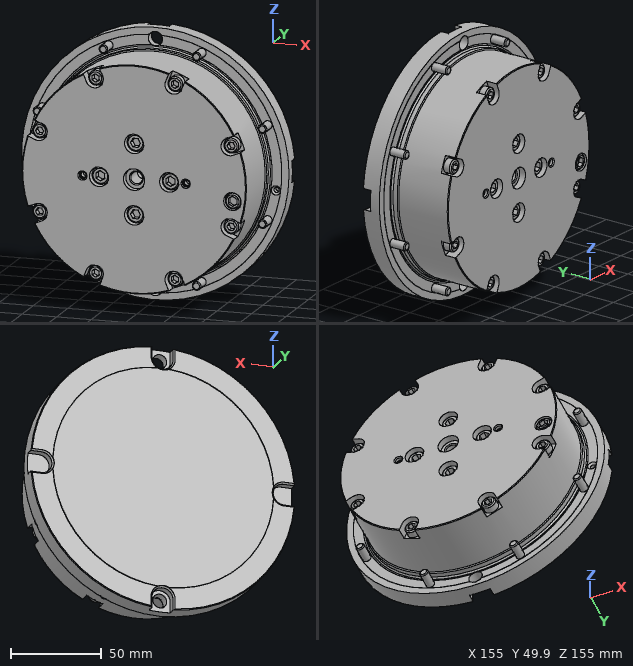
import cadquery as cq
import math


total_depth = 49.9
flange_radius = 77.5
body_radius = 65.0
neck_radius = 65.7
neck_front = 34.4
neck_flare = 1.0
flange_front = 37.8
back_boss_radius = 64.8
back_boss_height = 0.5
flange_back = total_depth - back_boss_height
edge_chamfer = 0.5
neck_step = 0.5

rim_step_radius = 73.3
rim_step_depth = 0.2
groove_outer_radius = 67.6
groove_depth = 0.3

pin_circle_radius = 70.5
flange_hole_radius = 71.0
pin_diameter = 5.0
pin_length = 9.9
pin_chamfer = 0.6
pin_root = 3.1
flange_hole_diameter = 8.0
notch_width = 12.2
notch_depth = 5.5
notch_chamfer = 1.0
small_hole_mouth = 5.3
small_hole_diameter = 3.0
small_hole_depth = 4.6

head_chamfer = 0.8
socket_depth = 3.9
head_root = 1.5

edge_screw_radius = 60.0
edge_bore_diameter = 10.0
edge_bore_depth = 7.0
edge_head_diameter = 8.5
edge_head_recess = 2.2
edge_socket_flats = 4.0

center_screw_radius = 20.3
center_screw_bore_diameter = 11.0
center_screw_bore_depth = 8.5
center_screw_head_diameter = 10.0
center_screw_head_recess = 2.5
center_screw_socket_flats = 5.0

plug_radius = 57.5
plug_angle = -8
plug_bore_diameter = 10.0
plug_bore_depth = 3.1
plug_head_diameter = 9.0
plug_head_recess = 0.3
plug_socket_flats = 5.0

center_bore_diameter = 12.2
center_bore_depth = 4.0
center_hole_mouth = 8.0
center_hole_diameter = 6.8
center_hole_depth = 12.4
drill_point_half_angle = 59

dowel_hole_offset = 29.9
dowel_hole_mouth = 5.3
dowel_hole_diameter = 4.0
dowel_hole_depth = 2.3
dowel_core_diameter = 3.0
dowel_core_depth = 6.2

quarter_angles = [0, 90, 180, 270]
eighth_angles = [22.5 + 45 * i for i in range(8)]


def polar(radius, angle):
    """Point (x, z) on a circle about the part axis."""
    return (
        radius * math.cos(math.radians(angle)),
        radius * math.sin(math.radians(angle)),
    )


def plane_at(y):
    """Plane square to the part axis; a negative extrusion runs backward, toward +Y."""
    return cq.Workplane("XZ", origin=(0, y, 0))


def cylinder(center, diameter, front, back):
    return plane_at(front).center(*center).circle(diameter / 2).extrude(front - back)


def revolved(points, center=(0, 0)):
    """Solid of (radius, y) points turned about a line parallel to Y through center (x, z)."""
    profile = cq.Workplane("XY").polyline(points).close()
    turned = profile.revolve(360, (0, 0, 0), (0, 1, 0))
    return turned.translate((center[0], 0, center[1]))


def countersunk_hole(center, front, mouth, diameter, depth, point_height=0):
    """Blind hole with a 45 degree mouth and an optional conical bottom."""
    sink = (mouth - diameter) / 2
    return revolved(
        [
            (0, front),
            (mouth / 2, front),
            (diameter / 2, front + sink),
            (diameter / 2, front + depth),
            (0, front + depth + point_height),
        ],
        center,
    )


def turned_body():
    floor_y = flange_front + rim_step_depth
    groove_floor_y = flange_front + groove_depth
    flare_radius = neck_radius + neck_flare
    return revolved(
        [
            (0, 0),
            (body_radius - edge_chamfer, 0),
            (body_radius, edge_chamfer),
            (body_radius, neck_front - neck_step),
            (neck_radius, neck_front),
            (neck_radius, groove_floor_y - neck_flare),
            (flare_radius, groove_floor_y),
            (groove_outer_radius, groove_floor_y),
            (groove_outer_radius, floor_y),
            (rim_step_radius, floor_y),
            (rim_step_radius, flange_front),
            (flange_radius, flange_front),
            (flange_radius, flange_back - edge_chamfer),
            (flange_radius - edge_chamfer, flange_back),
            (back_boss_radius, flange_back),
            (back_boss_radius, total_depth),
            (0, total_depth),
        ]
    )


def pin(angle):
    tip = flange_front - pin_length
    return revolved(
        [
            (0, tip),
            (pin_diameter / 2 - pin_chamfer, tip),
            (pin_diameter / 2, tip + pin_chamfer),
            (pin_diameter / 2, flange_front + pin_root),
            (0, flange_front + pin_root),
        ],
        polar(pin_circle_radius, angle),
    )


def u_cutter(center_radius, width, angle, front, back):
    """Slot cutter with a round inner end, open outward past the flange rim."""
    length = flange_radius
    slot = (
        plane_at(front)
        .center(center_radius + length / 2, 0)
        .slot2D(length + width, width)
        .extrude(front - back)
    )
    return slot.rotate((0, 0, 0), (0, 1, 0), -angle)


def rim_notch(angle):
    """U-shaped notch in the flange back with a chamfered mouth."""
    notch = u_cutter(
        flange_hole_radius, notch_width, angle, flange_back - notch_depth, total_depth
    )
    mouth = u_cutter(
        flange_hole_radius,
        notch_width + 2 * notch_chamfer,
        angle,
        flange_back - notch_chamfer,
        total_depth,
    )
    mouth = mouth.faces("<Y").chamfer(notch_chamfer)
    return notch.union(mouth)


def screw_head(center, diameter, top, seat, socket_flats, socket_angle):
    """Chamfered head rooted in its seat, with a hexagon socket turned by socket_angle."""
    head = revolved(
        [
            (0, top),
            (diameter / 2 - head_chamfer, top),
            (diameter / 2, top + head_chamfer),
            (diameter / 2, seat + head_root),
            (0, seat + head_root),
        ],
        center,
    )
    socket = (
        plane_at(top)
        .center(*center)
        .transformed(rotate=(0, 0, socket_angle))
        .polygon(6, socket_flats, circumscribed=True)
        .extrude(-socket_depth)
    )
    return head.cut(socket)


result = turned_body()

for angle in eighth_angles:
    result = result.union(pin(angle))

for angle in (90, 270):
    hole_center = polar(flange_hole_radius, angle)
    result = result.cut(cylinder(hole_center, flange_hole_diameter, flange_front, total_depth))

for angle in quarter_angles:
    result = result.cut(rim_notch(angle))

small_hole_center = polar(pin_circle_radius, plug_angle)
result = result.cut(
    countersunk_hole(
        small_hole_center,
        flange_front + rim_step_depth,
        small_hole_mouth,
        small_hole_diameter,
        small_hole_depth,
    )
)

for angle in eighth_angles:
    x, z = polar(edge_screw_radius, angle)
    socket_turn = 90 if abs(x) > abs(z) else 0
    result = result.cut(u_cutter(edge_screw_radius, edge_bore_diameter, angle, 0, edge_bore_depth))
    result = result.union(
        screw_head(
            (x, z),
            edge_head_diameter,
            edge_head_recess,
            edge_bore_depth,
            edge_socket_flats,
            socket_turn,
        )
    )

for angle in quarter_angles:
    screw_center = polar(center_screw_radius, angle)
    bore = cylinder(screw_center, center_screw_bore_diameter, 0, center_screw_bore_depth)
    result = result.cut(bore).union(
        screw_head(
            screw_center,
            center_screw_head_diameter,
            center_screw_head_recess,
            center_screw_bore_depth,
            center_screw_socket_flats,
            angle,
        )
    )

plug_center = polar(plug_radius, plug_angle)
result = result.cut(cylinder(plug_center, plug_bore_diameter, 0, plug_bore_depth)).union(
    screw_head(
        plug_center,
        plug_head_diameter,
        plug_head_recess,
        plug_bore_depth,
        plug_socket_flats,
        0,
    )
)

drill_point = center_hole_diameter / 2 / math.tan(math.radians(drill_point_half_angle))
result = result.cut(cylinder((0, 0), center_bore_diameter, 0, center_bore_depth)).cut(
    countersunk_hole(
        (0, 0),
        center_bore_depth,
        center_hole_mouth,
        center_hole_diameter,
        center_hole_depth,
        drill_point,
    )
)

for side in (-1, 1):
    dowel_center = (side * dowel_hole_offset, 0)
    result = result.cut(
        countersunk_hole(dowel_center, 0, dowel_hole_mouth, dowel_hole_diameter, dowel_hole_depth)
    ).cut(cylinder(dowel_center, dowel_core_diameter, 0, dowel_core_depth))